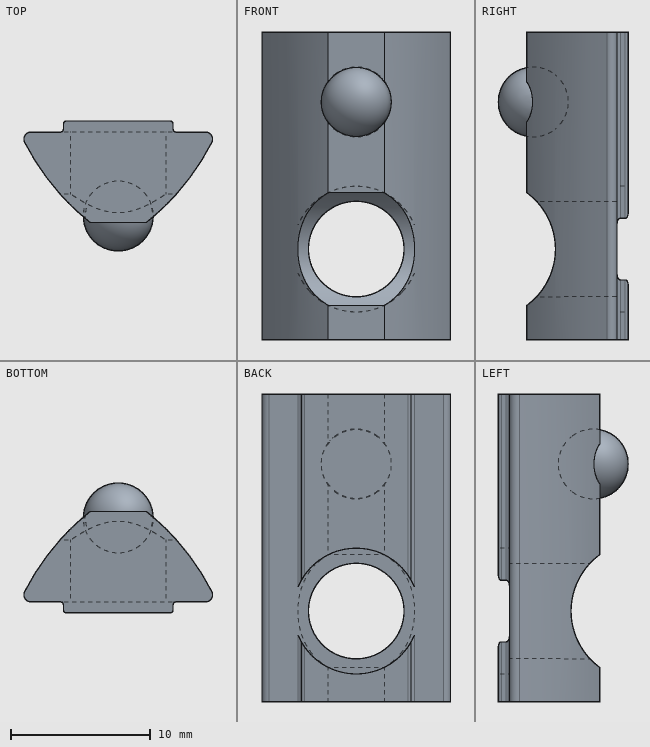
import cadquery as cq
import math

length = 22.0
width = 13.5
depth = 7.25
front_flat_width = 4.0
tongue_width = 7.85
tongue_height = 0.8
tongue_radius = 0.22
corner_radius = 0.5
flank_start_angle = math.radians(27.0)

bore_diameter = 6.82
bore_height = 6.5
counterbore_diameter = 9.0
scoop_radius = 5.0
scoop_depth = 2.05

ball_radius = 2.5
ball_protrusion = 2.05
ball_from_top = 5.0
ball_center = (0, ball_radius - ball_protrusion, length - ball_from_top)


def make_ball():
    return cq.Workplane("XY").sphere(ball_radius).translate(ball_center)


def make_blank():
    """Extrude the symmetric profile: back tongue, rounded wings, curved flanks, front flat."""
    tongue_side = tongue_width / 2
    shoulder_y = depth - tongue_height
    corner_x = width / 2 - corner_radius
    corner_y = shoulder_y - corner_radius
    flank_start = (
        corner_x + corner_radius * math.cos(flank_start_angle),
        corner_y - corner_radius * math.sin(flank_start_angle),
    )
    return (
        cq.Workplane("XY")
        .moveTo(0, depth)
        .lineTo(tongue_side - tongue_radius, depth)
        .tangentArcPoint((tongue_side, depth - tongue_radius), relative=False)
        .lineTo(tongue_side, shoulder_y + tongue_radius)
        .tangentArcPoint((tongue_side + tongue_radius, shoulder_y), relative=False)
        .lineTo(corner_x, shoulder_y)
        .tangentArcPoint(flank_start, relative=False)
        .tangentArcPoint((front_flat_width / 2, 0), relative=False)
        .lineTo(0, 0)
        .mirrorY()
        .extrude(length)
    )


def make_back_cylinder(diameter, cut_depth):
    """Cylinder along Y on the bore axis, going in from the back face."""
    back_plane = cq.Workplane("XZ", origin=(0, depth, bore_height))
    return back_plane.circle(diameter / 2).extrude(cut_depth)


def make_scoop():
    """Cylinder along X that hollows the front across the full width."""
    scoop_center = (-width / 2, scoop_depth - scoop_radius, bore_height)
    return cq.Workplane("YZ", origin=scoop_center).circle(scoop_radius).extrude(width)


def make_nut(ball):
    bore = make_back_cylinder(bore_diameter, depth)
    counterbore = make_back_cylinder(counterbore_diameter, tongue_height)
    return make_blank().cut(bore).cut(counterbore).cut(make_scoop()).cut(ball)


ball = make_ball()
nut = make_nut(ball)

result = cq.Compound.makeCompound([nut.solids().val(), ball.solids().val()])